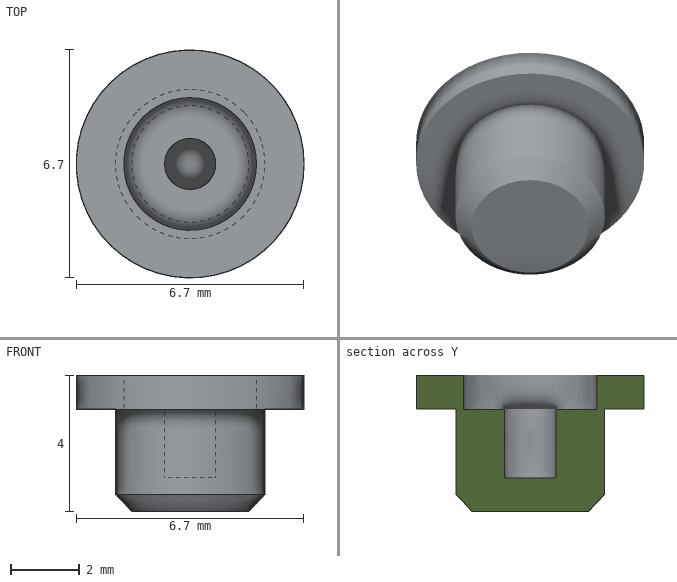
import cadquery as cq

total_height = 4.0
flange_diameter = 6.7
flange_thickness = 1.0
body_diameter = 4.39
tip_diameter = 3.44
tip_height = 0.5
recess_diameter = 3.9
recess_depth = 1.0
hole_diameter = 1.5
hole_depth = 2.0

flange_bottom = total_height - flange_thickness
recess_floor = total_height - recess_depth


def make_stepped_plug():
    """Flanged round plug with a tapered tip, revolved about Z from Z = 0."""
    flange_radius = flange_diameter / 2
    body_radius = body_diameter / 2
    profile = (
        cq.Workplane("XZ")
        .moveTo(0, 0)
        .lineTo(tip_diameter / 2, 0)
        .lineTo(body_radius, tip_height)
        .lineTo(body_radius, flange_bottom)
        .lineTo(flange_radius, flange_bottom)
        .lineTo(flange_radius, total_height)
        .lineTo(0, total_height)
        .close()
    )
    return profile.revolve(360, (0, 0), (0, 1))


def make_pocket(diameter, top, depth):
    """Cylinder that removes a round pocket downward from the height top."""
    return cq.Workplane("XY").workplane(offset=top).circle(diameter / 2).extrude(-depth)


recess = make_pocket(recess_diameter, total_height, recess_depth)
hole = make_pocket(hole_diameter, recess_floor, hole_depth)

result = make_stepped_plug().cut(recess).cut(hole)